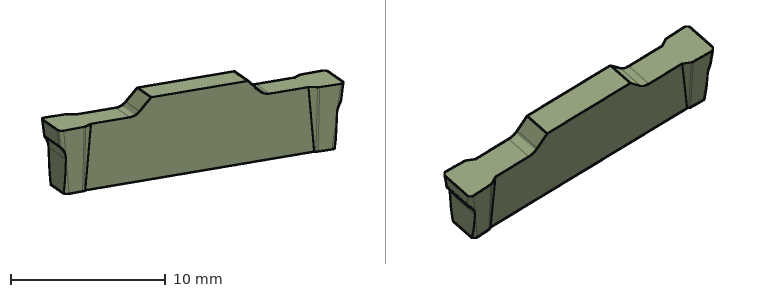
import cadquery as cq
import math

insert_length = 20.6
cutting_width = 2.79
insert_height = 5.65

body_width = 2.04
ridge_height = 1.13
ridge_flat_length = 7.0
ridge_slope = math.radians(45)
ridge_root_radius = 1.0
top_face_height = insert_height - ridge_height

front_clearance = math.radians(6.4)
side_clearance = math.radians(2.9)
back_taper = math.radians(2)
neck_angle = math.radians(29)
flank_length = 1.88
head_length = 3.0
corner_radius = 0.3

relief_wall_setback = 0.52
relief_depth_below_edge = 1.16
relief_radius = 1.2

half_length = insert_length / 2
half_body_width = body_width / 2
sharp_half_width = cutting_width / 2 + corner_radius * math.tan(back_taper)


def make_body():
    """Bar with sloped ridge, ending inside the two heads."""
    half_body_length = half_length - head_length / 2
    half_flat = ridge_flat_length / 2
    arc_run = ridge_root_radius * math.sin(ridge_slope)
    arc_rise = ridge_root_radius * (1 - math.cos(ridge_slope))
    slope_run = (ridge_height - arc_rise) / math.tan(ridge_slope)
    slope_end = half_flat + slope_run
    arc_end = slope_end + arc_run
    arc_middle_y = arc_end - ridge_root_radius * math.sin(ridge_slope / 2)
    arc_middle_z = top_face_height + ridge_root_radius * (1 - math.cos(ridge_slope / 2))
    slope_end_z = top_face_height + arc_rise
    profile = (
        cq.Workplane("YZ")
        .moveTo(-half_body_length, 0)
        .lineTo(half_body_length, 0)
        .lineTo(half_body_length, top_face_height)
        .lineTo(arc_end, top_face_height)
        .threePointArc((arc_middle_y, arc_middle_z), (slope_end, slope_end_z))
        .lineTo(half_flat, insert_height)
        .lineTo(-half_flat, insert_height)
        .lineTo(-slope_end, slope_end_z)
        .threePointArc((-arc_middle_y, arc_middle_z), (-arc_end, top_face_height))
        .lineTo(-half_body_length, top_face_height)
        .close()
    )
    return profile.extrude(half_body_width, both=True)


def head_outline(depth):
    """Sharp-cornered head outline at a depth below the top face, front edge towards -Y."""
    narrowing = depth * math.tan(side_clearance)
    front = depth * math.tan(front_clearance)
    front_half = sharp_half_width - narrowing - front * math.tan(back_taper)
    flank_half = sharp_half_width - narrowing - flank_length * math.tan(back_taper)
    neck_end = flank_length + (flank_half - half_body_width) / math.tan(neck_angle)
    right_side = [
        (front_half, front),
        (flank_half, flank_length),
        (half_body_width, neck_end),
        (half_body_width, head_length),
    ]
    left_side = [(-x, y) for x, y in reversed(right_side)]
    return [(x, y - half_length) for x, y in right_side + left_side]


def make_relief_cutter():
    """Volume removed in front of the upright wall at the -Y end."""
    edge_setback = relief_depth_below_edge * math.tan(front_clearance)
    arc_depth = relief_wall_setback - edge_setback
    arc_angle = math.acos(1 - arc_depth / relief_radius)
    start_y = edge_setback - half_length
    wall_y = relief_wall_setback - half_length
    start_z = top_face_height - relief_depth_below_edge
    arc_end_z = start_z - relief_radius * math.sin(arc_angle)
    arc_middle_y = wall_y - relief_radius * (1 - math.cos(arc_angle / 2))
    arc_middle_z = arc_end_z + relief_radius * math.sin(arc_angle / 2)
    return (
        cq.Workplane("YZ")
        .moveTo(-half_length, start_z)
        .lineTo(start_y, start_z)
        .threePointArc((arc_middle_y, arc_middle_z), (wall_y, arc_end_z))
        .lineTo(wall_y, 0)
        .lineTo(-half_length, 0)
        .close()
        .extrude(cutting_width, both=True)
    )


def make_head():
    """Cutting head at the -Y end with rounded corners and front relief."""
    head = (
        cq.Workplane("XY")
        .polyline(head_outline(top_face_height))
        .close()
        .workplane(offset=top_face_height)
        .polyline(head_outline(0))
        .close()
        .loft(ruled=True)
    )
    neck_clear_y = flank_length + corner_radius / 2 - half_length
    front_zone = cq.selectors.BoxSelector(
        (-cutting_width, -insert_length, 0),
        (cutting_width, neck_clear_y, top_face_height),
    )
    head = head.edges("not #Z").edges(front_zone).fillet(corner_radius)
    return head.cut(make_relief_cutter())


front_head = make_head()
back_head = front_head.mirror("XZ")
result = make_body().union(front_head).union(back_head)